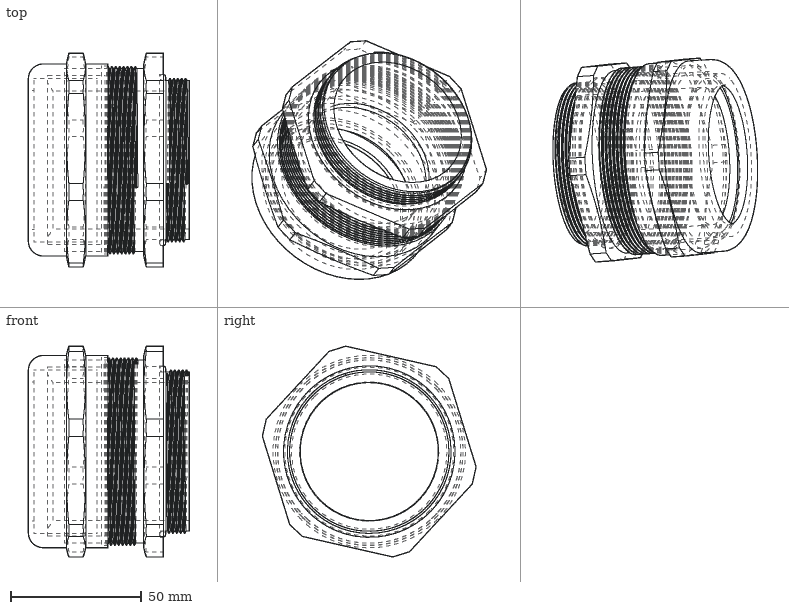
import cadquery as cq
import math

overall_length = 61.9
cap_length = 30.6
cap_hex_start = 14.6
cap_hex_length = 7.5
lip_thickness = 2.3
seal_front = 7.4
seal_taper_end = 9.45
seal_end = 26.4
cage_end = 29.5
housing_front = 14.0
flange_start = 44.4
flange_end = 51.9

bore_diameter = 53.0
cap_diameter = 73.95
lip_diameter = 53.5
cap_front_flat_diameter = 62.3
cap_cavity_diameter = 62.85
seal_mouth_diameter = 59.65
seal_diameter = cap_cavity_diameter
cage_diameter = 64.9
barrel_diameter = 70.4
neck_diameter = 61.2
o_ring_diameter = 65.9

lip_fillet = 0.4

hex_sides = 6
across_flats = 75.0
across_cut_corners = 82.7
hex_turn = 17.2
hex_face_diameter = 73.95
hex_chamfer_depth = 1.0

thread_height = 0.8
thread_base_width = 1.1
thread_crest_width = 0.2
thread_root_overlap = 0.1
cap_thread_turns = 8
cap_thread_end = 41.6
mount_thread_turns = 5
mount_thread_travel = 7.5
thread_pitch = mount_thread_travel / mount_thread_turns
mount_thread_start = 53.4
thread_clearance = 0.1

o_ring_section = (o_ring_diameter - neck_diameter) / 2
o_ring_protrusion = 0.9


def revolved(points):
    """Solid of revolution about X from (x, radius) points."""
    return cq.Workplane("XY").polyline(points).close().revolve(360, (0, 0, 0), (1, 0, 0))


def cylinder(start, end, diameter):
    """Cylinder along X from start to end."""
    return cq.Workplane("YZ", origin=(start, 0, 0)).circle(diameter / 2).extrude(end - start)


def wrench_hexagon(start, length, chamfered_back):
    """Hexagon with flattened corners and coned faces; the back face is coned on request."""
    flat_distance = across_flats / 2
    half_side_angle = math.pi / hex_sides
    corner_distance = across_cut_corners / 2
    sharp_corner_distance = flat_distance / math.cos(half_side_angle)
    half_corner_width = (sharp_corner_distance - corner_distance) / math.tan(half_side_angle)
    vertex_radius = math.hypot(corner_distance, half_corner_width)
    half_corner_angle = math.degrees(math.atan2(half_corner_width, corner_distance))
    outline = []
    for corner in range(hex_sides):
        for side in (-1, 1):
            angle = math.radians(90 + hex_turn + 360 / hex_sides * corner + side * half_corner_angle)
            outline.append((vertex_radius * math.cos(angle), vertex_radius * math.sin(angle)))
    prism = cq.Workplane("YZ", origin=(start, 0, 0)).polyline(outline).close().extrude(length)

    end = start + length
    face_radius = hex_face_diameter / 2
    envelope = [(start, 0), (start, face_radius), (start + hex_chamfer_depth, vertex_radius)]
    if chamfered_back:
        envelope += [(end - hex_chamfer_depth, vertex_radius), (end, face_radius), (end, 0)]
    else:
        envelope += [(end, vertex_radius), (end, 0)]
    return prism.intersect(revolved(envelope))


def thread_rib(start, turns, root_diameter):
    """Right-handed helical rib along X whose ends lie on the hexagon corner direction."""
    root_radius = root_diameter / 2
    crest_radius = root_radius + thread_height
    sunk_radius = root_radius - thread_root_overlap
    half_base = thread_base_width / 2
    half_crest = thread_crest_width / 2
    half_sunk = half_base + (half_base - half_crest) * thread_root_overlap / thread_height
    path = cq.Wire.makeHelix(thread_pitch, turns * thread_pitch, root_radius)
    rib = (
        cq.Workplane("XZ")
        .moveTo(sunk_radius, -half_sunk)
        .lineTo(crest_radius, -half_crest)
        .lineTo(crest_radius, half_crest)
        .lineTo(sunk_radius, half_sunk)
        .close()
        .sweep(cq.Workplane(path), isFrenet=True)
    )
    along_x = rib.rotate((0, 0, 0), (0, 0, 1), 180).rotate((0, 0, 0), (0, 1, 0), 90)
    return along_x.rotate((0, 0, 0), (1, 0, 0), hex_turn).translate((start, 0, 0))


def make_cap():
    """Cap nut with a domed front, a hexagon and a stepped bore."""
    dome_radius = (cap_diameter - cap_front_flat_diameter) / 2
    shell = cylinder(0, cap_length, cap_diameter).faces("<X").edges().fillet(dome_radius)
    shell = shell.union(wrench_hexagon(cap_hex_start, cap_hex_length, True))
    shell = shell.cut(cylinder(0, cap_length, lip_diameter))
    smallest_circle = cq.selectors.RadiusNthSelector(0)
    shell = shell.faces("<X").edges(smallest_circle).fillet(lip_fillet)
    thread_bore = barrel_diameter + 2 * (thread_height + thread_clearance)
    thread_bore_start = cap_thread_end - (cap_thread_turns + 1) * thread_pitch
    for start, diameter in (
        (lip_thickness, cap_cavity_diameter),
        (seal_front, cage_diameter),
        (housing_front, barrel_diameter),
        (thread_bore_start, thread_bore),
    ):
        shell = shell.cut(cylinder(start, cap_length, diameter))
    return shell


def make_housing():
    """Housing with two threads, a hexagon flange, an O-ring groove and a seat for the cage."""
    body = cylinder(housing_front, flange_end, barrel_diameter)
    body = body.union(wrench_hexagon(flange_start, flange_end - flange_start, False))
    body = body.union(cylinder(flange_start, overall_length, neck_diameter))
    groove_floor = flange_end + o_ring_protrusion - o_ring_section
    groove = cylinder(groove_floor, flange_end, o_ring_diameter)
    groove = groove.cut(cylinder(groove_floor, flange_end, neck_diameter))
    body = body.cut(groove)
    body = body.cut(cylinder(housing_front, overall_length, bore_diameter))
    body = body.cut(cylinder(housing_front, cage_end, cage_diameter))
    cap_thread_start = cap_thread_end - cap_thread_turns * thread_pitch
    body = body.union(thread_rib(cap_thread_start, cap_thread_turns, barrel_diameter))
    return body.union(thread_rib(mount_thread_start, mount_thread_turns, neck_diameter))


def make_cage():
    """Sleeve around the seal with an inward flange behind it."""
    sleeve = cylinder(seal_front, cage_end, cage_diameter)
    sleeve = sleeve.cut(cylinder(seal_front, seal_end, seal_diameter))
    return sleeve.cut(cylinder(seal_end, cage_end, bore_diameter))


def make_seal():
    """Tubular seal with a tapered mouth."""
    return revolved([
        (seal_front, seal_mouth_diameter / 2),
        (seal_front, seal_diameter / 2),
        (seal_end, seal_diameter / 2),
        (seal_end, bore_diameter / 2),
        (seal_taper_end, bore_diameter / 2),
    ])


def make_o_ring():
    """O-ring of round section around the neck, standing out of the flange face."""
    section_radius = o_ring_section / 2
    ring_radius = (neck_diameter + o_ring_section) / 2
    center = flange_end + o_ring_protrusion - section_radius
    return cq.Workplane(cq.Solid.makeTorus(
        ring_radius, section_radius, cq.Vector(center, 0, 0), cq.Vector(1, 0, 0)
    ))


cap = make_cap()
housing = make_housing()
cage = make_cage()
seal = make_seal()
o_ring = make_o_ring()

result = cq.Compound.makeCompound([
    cap.val(),
    housing.val(),
    cage.val(),
    seal.val(),
    o_ring.val(),
])